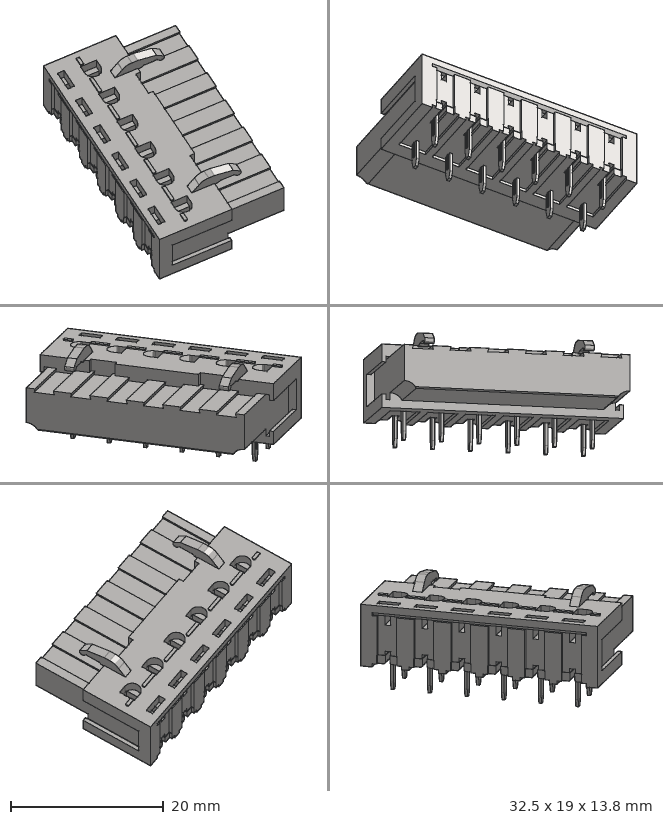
import cadquery as cq
import math


pole_count = 6
pitch = 5.07
half_pitch = pitch / 2
pole_xs = [(i - (pole_count - 1) / 2) * pitch for i in range(pole_count)]

housing_length = 32.48
housing_depth = 10.72
housing_height = 8.48

plug_end_trim = 0.03
plug_length = pole_count * pitch - 2 * plug_end_trim
plug_end = 19.0
plug_top = 6.85
plug_bottom = 1.07
plug_edge_height = 0.95
plug_edge_angle = 60
plug_end_chamfer = 0.2
groove_depth = 0.5
groove_undercut = 0.13

side_window_front = 1.92
side_window_bottom = 1.82
side_window_top = 6.1
side_wall = 0.55

notch_width = 3.57
notch_depth = 0.68
notch_x = 1.5 * pitch

latch_width = 1.3
latch_x = 10.75
latch_peak = 10.15
latch_front = 7.35
latch_crest_front = 9.85
latch_root_depth = 0.15
latch_arm_underside = 8.57
latch_hook_bottom = 8.12

hole_radius = 1.17
hole_y = 5.4
test_left = 1.62
test_right = 1.27
test_front = 1.05
test_back = 2.0

bar_y = 4.48
bar_top_width = 0.52
bar_foot_width = 0.23
bar_height = 0.23

window_half_width = 14.65
window_lip = 7.47
rib_top = 7.05
hole_floor = rib_top
window_depth = 0.45
recess_width = 2.7
foot_recess_width = 2.8
foot_recess_top = 1.62
foot_recess_depth = 0.4
channel_width = 0.78
channel_floor = 5.78
pin_slot_top = 2.18
foot_slot_width = 0.62
foot_slot_mouth = 0.9
foot_slot_flare_top = 0.68
relief_width = 4.03
relief_height = 0.45
relief_depth = 8.77

pin_thickness = 0.4
pin_tip = -3.65
pin_shoulder = -2.55
pin_rib_bottom = -1.98
pin_rib_height = 0.1
front_pin = (2.27, 3.35)
rear_pin = (7.3, 8.48)
pin_tip_width = 0.6
pin_rib_width = 0.35


def box(x0, x1, y0, y1, z0, z1):
    """Axis-aligned block between the given limits."""
    return cq.Workplane("XY").box(x1 - x0, y1 - y0, z1 - z0, centered=False).translate((x0, y0, z0))


def centred_box(x, width, y0, y1, z0, z1):
    """Block of the given width centred on x."""
    return box(x - width / 2, x + width / 2, y0, y1, z0, z1)


def side_profile(x, width):
    """Sketch plane in (y, z) for a solid of the given width centred on x."""
    return cq.Workplane("YZ", origin=(x - width / 2, 0, 0))


def make_plug():
    half = plug_length / 2
    edge_z = plug_bottom + plug_edge_height
    sweep = math.radians(plug_edge_angle)
    radius = plug_edge_height / (1 - math.cos(sweep))

    def edge_arc(angle):
        """Inset from the plug side and height of the point at this angle along the edge scoop."""
        return radius * math.sin(angle), edge_z - radius * (1 - math.cos(angle))

    mid_inset, mid_z = edge_arc(sweep / 2)
    end_inset, end_z = edge_arc(sweep)
    plug = (
        cq.Workplane("XZ", origin=(0, plug_end, 0))
        .moveTo(-half, plug_top)
        .lineTo(-half, edge_z)
        .threePointArc((-half + mid_inset, mid_z), (-half + end_inset, end_z))
        .lineTo(half - end_inset, end_z)
        .threePointArc((half - mid_inset, mid_z), (half, edge_z))
        .lineTo(half, plug_top)
        .close()
        .extrude(plug_end - side_window_front)
    )
    plug = plug.faces("<Z").edges(">Y").chamfer(plug_end_chamfer)
    for x in pole_xs:
        plug = plug.cut(make_groove(x))
    return plug


def make_groove(x):
    """Dovetail groove, wider at its floor than at the plug top."""
    mouth = half_pitch / 2
    floor = mouth + groove_undercut
    floor_z = plug_top - groove_depth
    return (
        cq.Workplane("XZ", origin=(x, plug_end, 0))
        .moveTo(-mouth, plug_top)
        .lineTo(-floor, floor_z)
        .lineTo(floor, floor_z)
        .lineTo(mouth, plug_top)
        .close()
        .extrude(plug_end - housing_depth + notch_depth)
    )


def make_housing():
    housing = centred_box(0, housing_length, 0, housing_depth, 0, housing_height)
    for x in (-notch_x, notch_x):
        housing = housing.cut(
            centred_box(x, notch_width, housing_depth - notch_depth, housing_depth,
                        plug_top - groove_depth, housing_height)
        )
    window_x = (housing_length - side_wall) / 2
    gap_width = (housing_length - plug_length) / 2 - side_wall
    gap_x = (plug_length + gap_width) / 2
    for side in (-1, 1):
        window = centred_box(side * window_x, side_wall, side_window_front, housing_depth,
                             side_window_bottom, side_window_top)
        gap = centred_box(side * gap_x, gap_width, side_window_front, housing_depth, plug_bottom, plug_top)
        housing = housing.cut(window).cut(gap)
    return housing


def make_latch(x):
    """Latch arm rising from the roof, level over the rear edge and dropping to a small hook."""
    root = housing_height - latch_root_depth
    return (
        side_profile(x, latch_width)
        .moveTo(latch_front, housing_height)
        .lineTo(8.4, 9.52)
        .threePointArc((9.03, 10.0), (latch_crest_front, latch_peak))
        .lineTo(housing_depth, latch_peak)
        .lineTo(13.48, 9.6)
        .lineTo(14.6, 8.77)
        .threePointArc((14.65, 8.45), (14.35, latch_hook_bottom))
        .lineTo(14.03, latch_hook_bottom)
        .lineTo(13.6, latch_arm_underside)
        .lineTo(11.6, latch_arm_underside)
        .lineTo(11.15, root)
        .lineTo(latch_front, root)
        .close()
        .extrude(latch_width)
    )


def make_bar(x0, x1):
    """Dovetail bar on the roof, wider at its top than at its foot."""
    return (
        cq.Workplane("YZ", origin=(x0, 0, 0))
        .moveTo(bar_y - bar_foot_width / 2, housing_height)
        .lineTo(bar_y + bar_foot_width / 2, housing_height)
        .lineTo(bar_y + bar_top_width / 2, housing_height + bar_height)
        .lineTo(bar_y - bar_top_width / 2, housing_height + bar_height)
        .close()
        .extrude(x1 - x0)
    )


def make_front_window():
    """Slit with a sloping roof under the lip of the front face."""
    return (
        side_profile(0, 2 * window_half_width)
        .moveTo(0, rib_top)
        .lineTo(0, window_lip)
        .lineTo(window_depth, rib_top)
        .close()
        .extrude(2 * window_half_width)
    )


def make_roof_holes(x):
    screw_hole = (
        cq.Workplane("XY", origin=(x, hole_y, hole_floor))
        .moveTo(-hole_radius, -hole_radius)
        .lineTo(0, -hole_radius)
        .threePointArc((hole_radius, 0), (0, hole_radius))
        .lineTo(-hole_radius, hole_radius)
        .close()
        .extrude(housing_height - hole_floor)
    )
    test_hole = box(x - test_left, x + test_right, test_front, test_back, hole_floor, housing_height)
    channel = centred_box(x, channel_width, 0, hole_y + hole_radius, channel_floor, hole_floor)
    return screw_hole.union(test_hole).union(channel)


def make_front_recess(x):
    upper = centred_box(x, recess_width, 0, window_depth, foot_recess_top, rib_top)
    foot = centred_box(x, foot_recess_width, 0, foot_recess_depth, 0, foot_recess_top)
    relief = centred_box(x, relief_width, 0, relief_depth, 0, relief_height)
    return upper.union(foot).union(relief)


def make_pin_slot(x):
    """Slot in front of the pin, narrow at its foot and flared where it opens into the relief."""
    outline = (
        (foot_slot_mouth / 2, relief_height),
        (foot_slot_width / 2, foot_slot_flare_top),
        (foot_slot_width / 2, foot_recess_top),
        (channel_width / 2, foot_recess_top),
        (channel_width / 2, pin_slot_top),
    )
    mirrored = [(-half_width, z) for half_width, z in reversed(outline)]
    return (
        cq.Workplane("XZ", origin=(x, front_pin[1], 0))
        .polyline([*outline, *mirrored])
        .close()
        .extrude(front_pin[1])
    )


def make_pin(x, y0, y1):
    mid = (y0 + y1) / 2
    blade = (
        side_profile(x, pin_thickness)
        .moveTo(y0, pin_slot_top)
        .lineTo(y0, pin_shoulder)
        .lineTo(mid - pin_tip_width / 2, pin_tip)
        .lineTo(mid + pin_tip_width / 2, pin_tip)
        .lineTo(y1, pin_shoulder)
        .lineTo(y1, pin_slot_top)
        .close()
        .extrude(pin_thickness)
    )
    rib_x = x - pin_thickness / 2
    rib = box(rib_x - pin_rib_height, rib_x, mid - pin_rib_width / 2, mid + pin_rib_width / 2,
              pin_rib_bottom, foot_recess_top)
    return blade.union(rib)


result = make_housing().cut(make_front_window())
for x in pole_xs:
    result = result.cut(make_front_recess(x))
result = result.union(make_plug())
for x in pole_xs:
    result = result.cut(make_roof_holes(x)).cut(make_pin_slot(x))
    for y0, y1 in (front_pin, rear_pin):
        result = result.union(make_pin(x, y0, y1))

for x in (-latch_x, latch_x):
    result = result.union(make_latch(x))

for i in range(pole_count + 1):
    middle = (i - pole_count / 2) * pitch
    bar_start = max(middle - half_pitch / 2, -plug_length / 2)
    bar_end = min(middle + half_pitch / 2, plug_length / 2)
    result = result.union(make_bar(bar_start, bar_end))